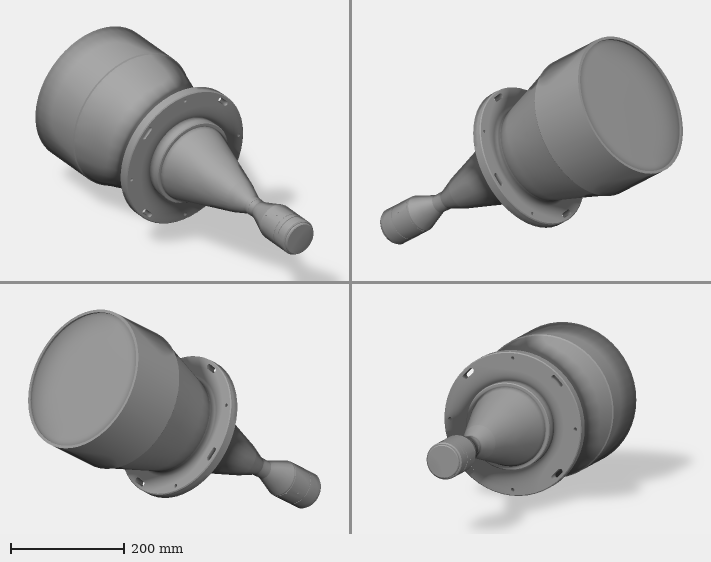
import cadquery as cq
import math

TOTAL_LENGTH = 600.14

HOOD_RADIUS = 130.0
HOOD_LENGTH = 111.0
HOOD_REAR_CHAMFER = 2.0
GLASS_RADIUS = 125.0
GLASS_RECESS = 4.0
GLASS_DOME = 1.5

FRONT_CONE_END = 235.3
FRONT_CONE_END_RADIUS = 90.0
NECK_STEP_START = 237.0
NECK_STEP_DEPTH = 0.3
NECK_FILLET = 6.0

FLANGE_RADIUS = 130.0
FLANGE_START = 246.0
FLANGE_END = 265.3
FLANGE_CHAMFER = 1.7
BOLT_CIRCLE_RADIUS = 119.0
FLANGE_SLOT_LENGTH = 26.0
FLANGE_SLOT_WIDTH = 9.0
FLANGE_HOLE_DIAMETER = 6.5
FIXINGS_PER_PATTERN = 4

SEAT_RADIUS = 79.0
SEAT_RELIEF_DEPTH = 0.25
SEAT_START = 267.8
SEAT_END = 288.7
SEAT_CHAMFER = 1.5

REAR_CONE_START_RADIUS = 71.5
REAR_CONE_END = 425.5
REAR_CONE_END_RADIUS = 30.7
WAIST_START = 460.5
WAIST_RADIUS = 17.0
WAIST_STEP_START = 470.0
WAIST_STEP_DEPTH = 0.4
WAIST_END = 481.7

BARREL_RADIUS = 33.4
BARREL_RELIEF_DEPTH = 0.6
BARREL_CONE_END = 525.6
FIRST_RING_START = 528.8
SECOND_RING_START = 548.5
SECOND_RING_END = 565.5
THIRD_RING_START = 568.2
THIRD_RING_END = 593.5
RING_CHAMFER = 2.0
END_LIP_RADIUS = 30.3
END_LIP_CHAMFER = 1.5

SCREW_HOLE_DIAMETER = 2.5
SCREW_HOLE_DEPTH = 3.0
SCREW_EDGE_DISTANCE = 2.0
SCREWS_PER_RING = 3
FIRST_SCREW_ANGLE = 45.0
SECOND_SCREW_ANGLE = 25.0

ARC_SLOT_START = 575.8
ARC_SLOT_WIDTH = 1.8
ARC_SLOT_DEPTH = 1.0
ARC_SLOT_HALF_ANGLE = 69.0


def lens_body():
    """Revolve the half profile, drawn as (X, radius), about the X axis."""
    neck_radius = FRONT_CONE_END_RADIUS - NECK_STEP_DEPTH
    fillet_start = FLANGE_START - NECK_FILLET
    fillet_mid = (
        fillet_start + NECK_FILLET * math.sin(math.pi / 4),
        neck_radius + NECK_FILLET * (1 - math.cos(math.pi / 4)),
    )
    fillet_end = (FLANGE_START, neck_radius + NECK_FILLET)
    seat_relief_radius = SEAT_RADIUS - SEAT_RELIEF_DEPTH
    waist_step_radius = WAIST_RADIUS - WAIST_STEP_DEPTH
    relief_radius = BARREL_RADIUS - BARREL_RELIEF_DEPTH
    end_lip_start = THIRD_RING_END + RING_CHAMFER

    dome_sphere_radius = (GLASS_RADIUS**2 + GLASS_DOME**2) / (2 * GLASS_DOME)
    dome_mid_radius = GLASS_RADIUS / 2
    dome_mid_drop = dome_sphere_radius - math.sqrt(dome_sphere_radius**2 - dome_mid_radius**2)
    dome_top = GLASS_RECESS - GLASS_DOME

    profile = (
        cq.Workplane("XY")
        .moveTo(dome_top, 0)
        .threePointArc((dome_top + dome_mid_drop, dome_mid_radius), (GLASS_RECESS, GLASS_RADIUS))
        .lineTo(0, GLASS_RADIUS)
        .lineTo(0, HOOD_RADIUS)
        .lineTo(HOOD_LENGTH - HOOD_REAR_CHAMFER, HOOD_RADIUS)
        .lineTo(HOOD_LENGTH, HOOD_RADIUS - HOOD_REAR_CHAMFER)
        .lineTo(FRONT_CONE_END, FRONT_CONE_END_RADIUS)
        .lineTo(NECK_STEP_START, FRONT_CONE_END_RADIUS)
        .lineTo(NECK_STEP_START, neck_radius)
        .lineTo(fillet_start, neck_radius)
        .threePointArc(fillet_mid, fillet_end)
        .lineTo(FLANGE_START, FLANGE_RADIUS - FLANGE_CHAMFER)
        .lineTo(FLANGE_START + FLANGE_CHAMFER, FLANGE_RADIUS)
        .lineTo(FLANGE_END - FLANGE_CHAMFER, FLANGE_RADIUS)
        .lineTo(FLANGE_END, FLANGE_RADIUS - FLANGE_CHAMFER)
        .lineTo(FLANGE_END, seat_relief_radius)
        .lineTo(SEAT_START, seat_relief_radius)
        .lineTo(SEAT_START, SEAT_RADIUS)
        .lineTo(SEAT_END - SEAT_CHAMFER, SEAT_RADIUS)
        .lineTo(SEAT_END, SEAT_RADIUS - SEAT_CHAMFER)
        .lineTo(SEAT_END, REAR_CONE_START_RADIUS)
        .lineTo(REAR_CONE_END, REAR_CONE_END_RADIUS)
        .lineTo(WAIST_START, WAIST_RADIUS)
        .lineTo(WAIST_STEP_START, WAIST_RADIUS)
        .lineTo(WAIST_STEP_START, waist_step_radius)
        .lineTo(WAIST_END, waist_step_radius)
        .lineTo(BARREL_CONE_END, relief_radius)
        .lineTo(FIRST_RING_START, relief_radius)
        .lineTo(FIRST_RING_START, BARREL_RADIUS)
        .lineTo(SECOND_RING_END, BARREL_RADIUS)
        .lineTo(SECOND_RING_END, relief_radius)
        .lineTo(THIRD_RING_START, relief_radius)
        .lineTo(THIRD_RING_START, BARREL_RADIUS)
        .lineTo(THIRD_RING_END, BARREL_RADIUS)
        .lineTo(end_lip_start, BARREL_RADIUS - RING_CHAMFER)
        .lineTo(end_lip_start, END_LIP_RADIUS)
        .lineTo(TOTAL_LENGTH - END_LIP_CHAMFER, END_LIP_RADIUS)
        .lineTo(TOTAL_LENGTH, END_LIP_RADIUS - END_LIP_CHAMFER)
        .lineTo(TOTAL_LENGTH, 0)
        .close()
    )
    return profile.revolve(360, (0, 0, 0), (1, 0, 0))


def flange_fixings():
    """Tangential through slots on the diagonals and through holes on the Y and Z axes."""
    pitch = 360 / FIXINGS_PER_PATTERN
    flange_face = cq.Workplane("YZ", origin=(FLANGE_START, 0, 0))
    thickness = FLANGE_END - FLANGE_START
    slots = (
        flange_face.polarArray(BOLT_CIRCLE_RADIUS, pitch / 2, 360, FIXINGS_PER_PATTERN)
        .slot2D(FLANGE_SLOT_LENGTH, FLANGE_SLOT_WIDTH, 90)
        .extrude(thickness)
    )
    holes = (
        flange_face.polarArray(BOLT_CIRCLE_RADIUS, 0, 360, FIXINGS_PER_PATTERN)
        .circle(FLANGE_HOLE_DIAMETER / 2)
        .extrude(thickness)
    )
    return slots.union(holes)


def set_screw_holes(x, first_angle):
    """Radial blind holes; angles run from +Z towards -Y."""
    hole = (
        cq.Workplane("XY", origin=(x, 0, BARREL_RADIUS - SCREW_HOLE_DEPTH))
        .circle(SCREW_HOLE_DIAMETER / 2)
        .extrude(2 * SCREW_HOLE_DEPTH)
    )
    holes = cq.Workplane("XY")
    for index in range(SCREWS_PER_RING):
        angle = first_angle + index * 360 / SCREWS_PER_RING
        holes = holes.add(hole.rotate((0, 0, 0), (1, 0, 0), angle))
    return holes.combine()


def arc_slot():
    """Ring segment centred on +Z, cut into the third ring."""
    sweep = 2 * ARC_SLOT_HALF_ANGLE
    section = cq.Workplane("XY").moveTo(ARC_SLOT_START, BARREL_RADIUS - ARC_SLOT_DEPTH)
    section = section.rect(ARC_SLOT_WIDTH, 2 * ARC_SLOT_DEPTH, centered=False)
    segment = section.revolve(sweep, (0, 0, 0), (1, 0, 0))
    return segment.rotate((0, 0, 0), (1, 0, 0), 90 - ARC_SLOT_HALF_ANGLE)


result = (
    lens_body()
    .cut(flange_fixings())
    .cut(set_screw_holes(FIRST_RING_START + SCREW_EDGE_DISTANCE, FIRST_SCREW_ANGLE))
    .cut(set_screw_holes(SECOND_RING_START + SCREW_EDGE_DISTANCE, SECOND_SCREW_ANGLE))
    .cut(arc_slot())
)